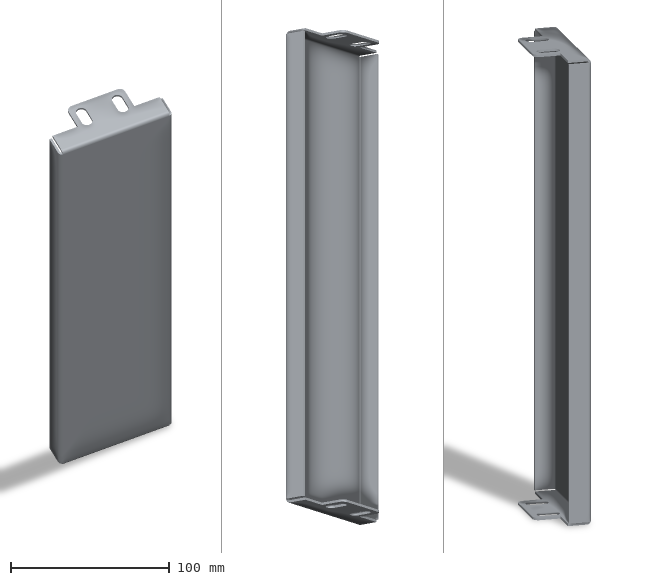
import cadquery as cq

depth = 32.0
width = 79.0
height = 306.0
thickness = 1.5
bend_radius = 2.5
corner_inset = 2.0
flange_depth = 15.0

tab_width = 39.5
tab_corner_radius = 3.7
slot_length = 15.0
slot_width = 7.0
slot_spacing = 25.0
slot_tip_distance = 11.3

back_x = depth / 2
tip_x = -depth / 2
rim_x = back_x - flange_depth


def block(x_start, size_y, size_z):
    """Centred block reaching from x_start to the back face."""
    return cq.Workplane("YZ", origin=(x_start, 0, 0)).rect(size_y, size_z).extrude(back_x - x_start)


def channel(x_start, size_y, size_z, fold_direction):
    """U-shaped fold open toward -X, with its two folds running along fold_direction."""
    fold_edges = f">X and |{fold_direction}"
    outside = block(x_start, size_y, size_z).edges(fold_edges).fillet(bend_radius)
    inside_y = size_y - 2 * thickness if fold_direction == "Z" else size_y
    inside_z = size_z - 2 * thickness if fold_direction == "Y" else size_z
    inside = (
        block(x_start, inside_y, inside_z)
        .translate((-thickness, 0, 0))
        .edges(fold_edges)
        .fillet(bend_radius - thickness)
    )
    return outside.cut(inside)


side_channel = channel(rim_x, width, height - 2 * corner_inset, "Z")
end_channel = channel(tip_x, width - 2 * corner_inset, height, "Y")

tab_envelope = (
    block(tip_x, tab_width, height)
    .edges("<X and |Z")
    .fillet(tab_corner_radius)
)
end_channel = end_channel.intersect(tab_envelope.union(block(rim_x, width, height)))

slots = (
    cq.Workplane("XY", origin=(tip_x + slot_tip_distance, 0, -height / 2))
    .rarray(3, slot_spacing, 1, 2)
    .slot2D(slot_length, slot_width)
    .extrude(height)
)

side_bends = block(tip_x, width, height).edges(">X and |Z").fillet(bend_radius)
end_bends = block(tip_x, width, height).edges(">X and |Y").fillet(bend_radius)
sheet = side_channel.union(end_channel).intersect(side_bends).intersect(end_bends)

result = sheet.cut(slots)